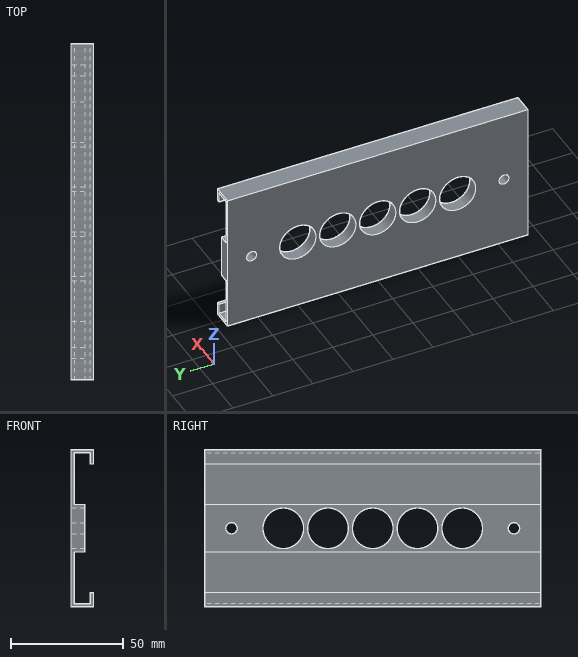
import cadquery as cq

depth = 10.0
length = 150.0
height = 70.2

wall = 1.5
lip_height = 6.5
bar_depth = 6.2
bar_height = 21.3

large_diameter = 18.0
large_count = 5
large_pitch = 20.0
small_diameter = 5.0
small_spacing = 126.0


def block(x_size, y_size, z_size, x_start):
    """Box centred on Y and Z, starting at x_start."""
    box = cq.Workplane("XY").box(x_size, y_size, z_size, centered=(False, True, True))
    return box.translate((x_start, 0, 0))


def channel():
    """C-section with a flat web and lips turned in at the open side."""
    outer = block(depth, length, height, 0)
    cavity = block(depth - 2 * wall, length, height - 2 * wall, wall)
    mouth = block(wall, length, height - 2 * lip_height, depth - wall)
    return outer.cut(cavity).cut(mouth)


def through_holes(diameter, count, pitch):
    """Row of cylinders along Y, centred on the part and crossing its full depth."""
    row = cq.Workplane("YZ").rarray(pitch, 1.5, count, 1)
    return row.circle(diameter / 2).extrude(depth)


bar = block(bar_depth, length, bar_height, 0)

result = (
    channel()
    .union(bar)
    .cut(through_holes(large_diameter, large_count, large_pitch))
    .cut(through_holes(small_diameter, 2, small_spacing))
)